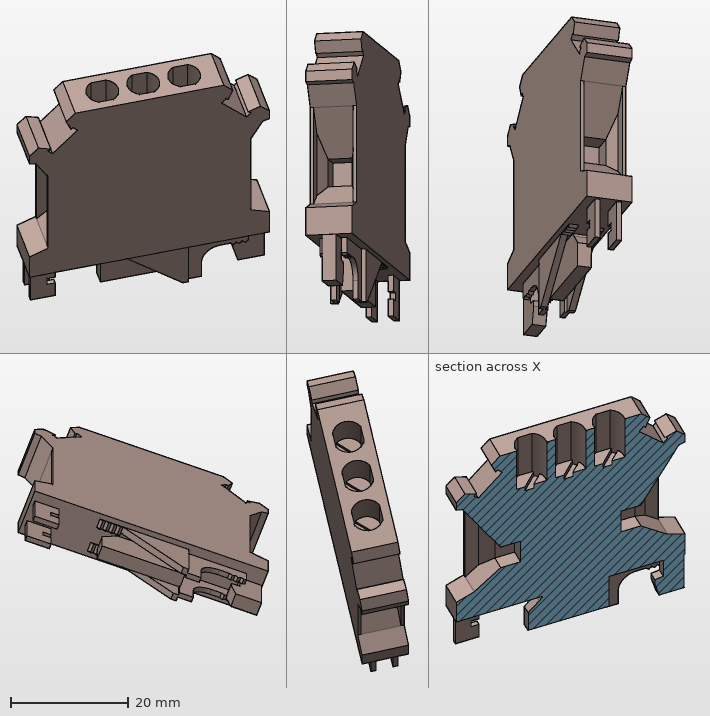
import cadquery as cq
import math

width = 8.15
half_length = 21.25
height = 45.8
body_bottom = 9.1
neck_half_length = 17.95
shelf_top = 15.15
shoulder_bottom = 31.95

entry_half_width = 3.5
entry_straight_depth = 2.47
funnel_depth = 4.95
channel_half_width = 2.1
channel_bottom = 19.05
channel_top = 23.85
channel_depth = 3.65

shaft_radius = 2.8
shaft_flat_half_width = 2.47
shaft_pitch = 7.25
shaft_depth = 9.15
driver_slot_width = 1.15
driver_slot_depth = 0.9
driver_slot_angle = -45

inner_face = 1.45
rib_inner_face = 1.92
plate_outer_face = 2.4
rib_outer_face = 3.1
hook_half_width = 1.25

web_end = 7.15
foot_bottom = 2.0
tooth_depth = 0.45
tooth_pitch = 1.05


def plate(points, x_from, x_to):
    """Extrude a closed (Y, Z) outline between two X positions."""
    return cq.Workplane("YZ", origin=(x_from, 0, 0)).polyline(points).close().extrude(x_to - x_from)


def both_sides(solid):
    """Add the mirror image across the middle plane X = 0."""
    return solid.union(solid.mirror("YZ"))


def housing():
    """Full-width body, symmetric about Y = 0, with hooked lips at its shoulders and top."""
    half_outline = [
        (half_length, body_bottom),
        (half_length, 13.92),
        (neck_half_length, shelf_top),
        (neck_half_length, shoulder_bottom),
        (20.05, 35.55),
        (half_length, 35.85),
        (half_length, 37.7),
        (19.65, 39.2),
        (17.45, 38.43),
        (17.95, 38.05),
        (17.18, 37.3),
        (12.8, 41.7),
        (13.55, 42.5),
        (13.92, 42.2),
        (14.75, 44.2),
        (13.15, height),
    ]
    mirrored = [(-y, z) for y, z in reversed(half_outline)]
    return plate(half_outline + mirrored, -width / 2, width / 2)


def wire_entry():
    """Entry in the -Y end: tapering side walls, sloping floor and ceiling, then the channel."""
    mouth = -neck_half_length
    taper_start = mouth + entry_straight_depth
    funnel_end = mouth + funnel_depth
    plan = [
        (-entry_half_width, mouth),
        (entry_half_width, mouth),
        (entry_half_width, taper_start),
        (channel_half_width, funnel_end),
        (-channel_half_width, funnel_end),
        (-entry_half_width, taper_start),
    ]
    side = [
        (mouth, shelf_top),
        (funnel_end, channel_bottom),
        (funnel_end, channel_top),
        (mouth, shoulder_bottom),
    ]
    taper = cq.Workplane("XY").polyline(plan).close().extrude(height)
    funnel = taper.intersect(plate(side, -entry_half_width, entry_half_width))
    channel_end = funnel_end + channel_depth
    channel = plate(
        [
            (funnel_end, channel_bottom),
            (channel_end, channel_bottom),
            (channel_end, channel_top),
            (funnel_end, channel_top),
        ],
        -channel_half_width,
        channel_half_width,
    )
    return funnel.union(channel)


def screw_shaft(y):
    """Shaft with two flats, ending on a screw head with a driver slot."""
    full_depth = shaft_depth + driver_slot_depth
    bore = (
        cq.Workplane("XY")
        .circle(shaft_radius)
        .extrude(-full_depth)
        .intersect(cq.Workplane("XY").box(2 * shaft_flat_half_width, 2 * shaft_radius, 2 * full_depth))
    )
    open_shaft = cq.Workplane("XY").circle(shaft_radius).extrude(-shaft_depth)
    slot = (
        cq.Workplane("XY")
        .transformed(rotate=(0, 0, driver_slot_angle))
        .rect(2 * shaft_radius, driver_slot_width)
        .extrude(-full_depth)
    )
    return bore.intersect(open_shaft.union(slot)).translate((0, y, height))


def teeth(start, z, count):
    """Outline points of a row of downward teeth running towards -Y from `start`."""
    points = [(start, z)]
    for i in range(count):
        points.append((start - (i + 0.5) * tooth_pitch, z - tooth_depth))
        points.append((start - (i + 1) * tooth_pitch, z))
    return points


def rail_web():
    """Thin web with a toothed edge and a rounded corner above the mounting rail."""
    ceiling = 6.5
    tooth_count = 3
    corner_radius = 3.3
    rail_stop = 9.65
    diagonal = corner_radius * math.sqrt(0.5)
    arc_y = rail_stop + corner_radius
    arc_z = ceiling - corner_radius
    return (
        cq.Workplane("YZ", origin=(inner_face, 0, 0))
        .moveTo(web_end, body_bottom)
        .lineTo(neck_half_length, body_bottom)
        .polyline(teeth(neck_half_length, ceiling, tooth_count), includeCurrent=True)
        .lineTo(arc_y, ceiling)
        .threePointArc((arc_y - diagonal, arc_z + diagonal), (rail_stop, arc_z))
        .lineTo(rail_stop, 0)
        .lineTo(web_end, 0)
        .close()
        .extrude(plate_outer_face - inner_face)
    )


def sloped_rib():
    """Outer rib that slopes up to the body, followed by a row of teeth under the body."""
    rib_toe = 6.2
    rib_end = -4.8
    tooth_count = 4
    outline = [(web_end, body_bottom), (web_end, 0), (rib_toe, 0), (rib_end, body_bottom)]
    rib = plate(outline, rib_inner_face, rib_outer_face)
    return rib.union(plate(teeth(rib_end, body_bottom, tooth_count), inner_face, rib_outer_face))


def latch_leg():
    """Leg at the -Y end with a square notch facing the rail."""
    outer_side = -20.6
    rail_side = -16.2
    notch_back = -17.7
    notch_top = 6.3
    notch_bottom = 5.0
    outline = [
        (outer_side, body_bottom),
        (outer_side, foot_bottom),
        (rail_side, foot_bottom),
        (rail_side, notch_bottom),
        (notch_back, notch_bottom),
        (notch_back, notch_top),
        (rail_side, notch_top),
        (rail_side, body_bottom),
    ]
    return plate(outline, inner_face, plate_outer_face)


def rail_hook():
    """Middle leg at the +Y end whose nose reaches under the rail."""
    outer_side = 21.1
    hook_bottom = 1.1
    nose_tip = 15.55
    throat = 17.18
    outline = [
        (outer_side, body_bottom),
        (outer_side, hook_bottom),
        (16.4, hook_bottom),
        (nose_tip, 4.15),
        (nose_tip, 5.18),
        (throat, 5.4),
        (throat, body_bottom),
    ]
    return plate(outline, -hook_half_width, hook_half_width)


def middle_block():
    """Block between the two webs, chamfered in two steps at its -Y end."""
    block_end = -7.92
    outline = [
        (web_end, body_bottom),
        (web_end, foot_bottom),
        (block_end, foot_bottom),
        (block_end, 6.3),
        (-5.85, 8.4),
        (-5.25, body_bottom),
    ]
    return plate(outline, -hook_half_width, hook_half_width)


body = housing()
for foot in (rail_web(), sloped_rib(), latch_leg()):
    body = body.union(both_sides(foot))
body = body.union(rail_hook()).union(middle_block())

entry = wire_entry()
body = body.cut(entry).cut(entry.mirror("XZ"))

for step in (-1, 0, 1):
    body = body.cut(screw_shaft(step * shaft_pitch))

result = body